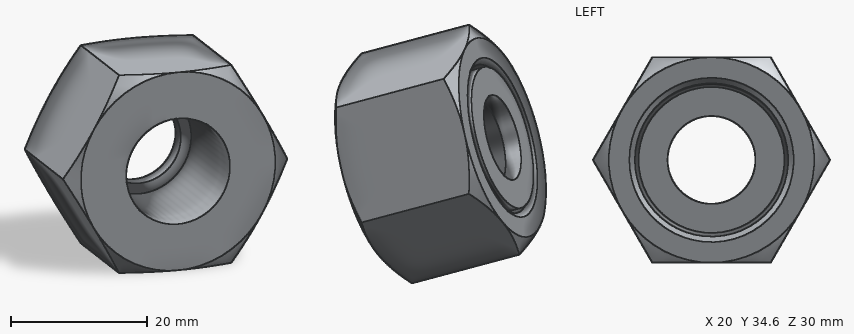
import cadquery as cq
import math

NUT_LENGTH = 20.0
HEX_SIDES = 6
ACROSS_FLATS = 30.0
CHAMFER_ANGLE = 30.0

COUNTERSINK_DIAMETER = 24.0
RECESS_DIAMETER = 22.4
COUNTERSINK_ANGLE = 45.0
RECESS_DEPTH = 8.0
RECESS_FLOOR_FILLET = 0.5
SLEEVE_DIAMETER = 21.3

ENTRY_BORE_DIAMETER = 12.8
ENTRY_BORE_LENGTH = 2.5
MAIN_BORE_DIAMETER = 16.0

flat_radius = ACROSS_FLATS / 2
across_corners = ACROSS_FLATS / math.cos(math.pi / HEX_SIDES)
corner_radius = across_corners / 2
chamfer_length = (corner_radius - flat_radius) * math.tan(math.radians(CHAMFER_ANGLE))

countersink_radius = COUNTERSINK_DIAMETER / 2
recess_radius = RECESS_DIAMETER / 2
sleeve_radius = SLEEVE_DIAMETER / 2
countersink_depth = (countersink_radius - recess_radius) / math.tan(math.radians(COUNTERSINK_ANGLE))


def revolve_about_x(profile):
    """Turn a closed XY profile, with Y as the radius, about the X axis."""
    return profile.close().revolve(360, (0, 0, 0), (1, 0, 0))


def hex_blank():
    """Hexagonal bar with corners on +Y and -Y, cone-chamfered at both ends."""
    bar = cq.Workplane("YZ").polygon(HEX_SIDES, across_corners).extrude(NUT_LENGTH)
    envelope = revolve_about_x(
        cq.Workplane("XY")
        .moveTo(0, 0)
        .lineTo(0, flat_radius)
        .lineTo(chamfer_length, corner_radius)
        .lineTo(NUT_LENGTH - chamfer_length, corner_radius)
        .lineTo(NUT_LENGTH, flat_radius)
        .lineTo(NUT_LENGTH, 0)
    )
    return bar.intersect(envelope)


def recess_groove():
    """Countersunk ring groove around the sleeve, with a fillet between outer wall and floor."""
    return revolve_about_x(
        cq.Workplane("XY")
        .moveTo(0, sleeve_radius)
        .lineTo(0, countersink_radius)
        .lineTo(countersink_depth, recess_radius)
        .lineTo(RECESS_DEPTH - RECESS_FLOOR_FILLET, recess_radius)
        .radiusArc((RECESS_DEPTH, recess_radius - RECESS_FLOOR_FILLET), RECESS_FLOOR_FILLET)
        .lineTo(RECESS_DEPTH, sleeve_radius)
    )


def bore(diameter, start, end):
    """Cylinder on the X axis between two positions."""
    return cq.Workplane("YZ").workplane(offset=start).circle(diameter / 2).extrude(end - start)


result = (
    hex_blank()
    .cut(recess_groove())
    .cut(bore(ENTRY_BORE_DIAMETER, 0, ENTRY_BORE_LENGTH))
    .cut(bore(MAIN_BORE_DIAMETER, ENTRY_BORE_LENGTH, NUT_LENGTH))
)